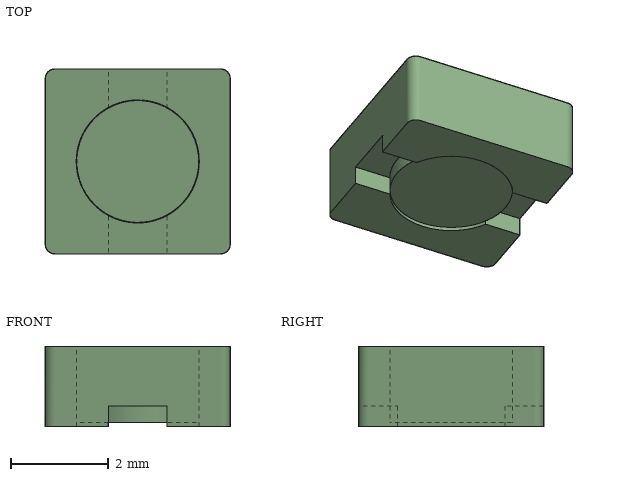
import cadquery as cq

side = 3.8
height = 1.65
corner_radius = 0.2

slot_width = 1.2
slot_height = 0.42

core_diameter = 2.51
core_clearance = 0.008
core_bottom = 0.08

bore_diameter = core_diameter + core_clearance


def make_housing():
    """Square block with rounded upright edges, a through bore and an underside slot."""
    block = (
        cq.Workplane("XY")
        .rect(side, side)
        .extrude(height)
        .edges("|Z")
        .fillet(corner_radius)
    )
    bore = cq.Workplane("XY").circle(bore_diameter / 2).extrude(height)
    slot = cq.Workplane("XY").rect(slot_width, side).extrude(slot_height)
    return block.cut(bore).cut(slot).solids()


def make_core():
    """Plain cylinder standing in the bore with a thin gap all round."""
    return (
        cq.Workplane("XY")
        .workplane(offset=core_bottom)
        .circle(core_diameter / 2)
        .extrude(height - core_bottom)
    )


housing = make_housing()
core = make_core()

result = cq.Compound.makeCompound([housing.val(), core.val()])